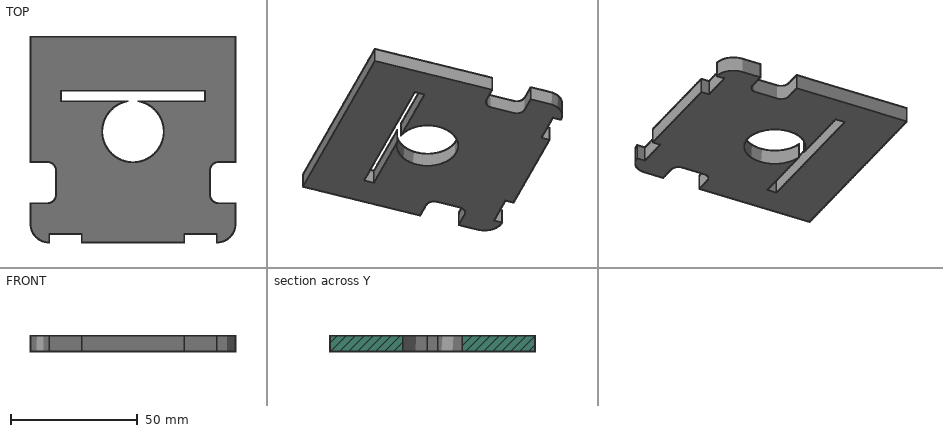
import cadquery as cq

width = 81.0
length = 81.3
thickness = 6.3
corner_radius = 7.5

side_notch_depth = 10.1
side_notch_start = 15.6
side_notch_length = 16.2
side_notch_radius = 3.3

tab_width = 40.55
front_notch_depth = 3.4

slot_width = 56.8
slot_height = 4.1
slot_start = 55.8
hole_radius = 12.1
hole_overlap = 0.2
hole_center_y = slot_start + hole_overlap - hole_radius


def box_cut(x_min, x_max, y_min, y_max):
    """Full-thickness block between the given X and Y limits."""
    size_x = x_max - x_min
    size_y = y_max - y_min
    return cq.Workplane("XY").box(size_x, size_y, thickness, centered=False).translate((x_min, y_min, 0))


def make_plate():
    plate = box_cut(-width / 2, width / 2, 0, length)
    return plate.edges("|Z and <Y").fillet(corner_radius)


def side_notch(side):
    """Notch on the +X (side = 1) or -X (side = -1) edge, rounded at its inner corners."""
    notch = box_cut(
        -side_notch_depth, side_notch_depth, side_notch_start, side_notch_start + side_notch_length
    )
    notch = notch.edges("|Z").fillet(side_notch_radius)
    return notch.translate((side * width / 2, 0, 0))


def front_notch(side):
    """Square notch beside the middle tab, reaching to the start of the rounded corner."""
    inner = side * tab_width / 2
    outer = side * (width / 2 - corner_radius)
    return box_cut(min(inner, outer), max(inner, outer), 0, front_notch_depth)


result = make_plate()
for side in (-1, 1):
    result = result.cut(side_notch(side))
    result = result.cut(front_notch(side))

slot = box_cut(-slot_width / 2, slot_width / 2, slot_start, slot_start + slot_height)
hole = cq.Workplane("XY").center(0, hole_center_y).circle(hole_radius).extrude(thickness)
result = result.cut(slot).cut(hole)